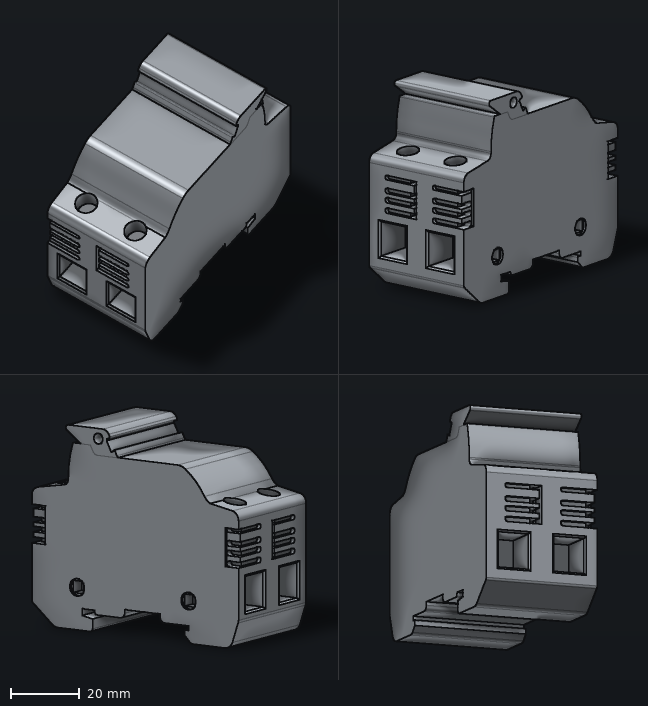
import cadquery as cq
import math


POLE_COUNT = 2
POLE_WIDTH = 17.5
WIDTH = POLE_COUNT * POLE_WIDTH
DEPTH = 72.6
HEIGHT = 60.3
HALF_WIDTH = WIDTH / 2
HALF_DEPTH = DEPTH / 2

COVER_ANGLE = 10.0
COVER_EDGE_Z = 40.45
BODY_TOP_Z = 52.4
SHOULDER_TOP_Z = 55.2
FOOT_Y = 23.5
FOOT_ROUNDING = 2.0
RAIL_SEAT_Z = 5.2
RAIL_HOOK_Z = 6.5
RAIL_RELIEF_Z = 7.75

LEVER_NOSE_ANGLE = 35.0
LEVER_NOSE_RADIUS = 0.9
LEVER_NOSE_Y = 24.4
LEVER_ROOT_Y = 19.2
LEVER_PIN_Y = 12.95
LEVER_PIN_Z = 57.3
LEVER_PIN_DIAMETER = 3.15
LEVER_PIN_DEPTH = 5.0

SCREW_Y = 29.1
SCREW_DIAMETER = 6.6
SCREW_DEPTH = 6.0

ENTRY_WIDTH = 9.4
ENTRY_HEIGHT = 10.4
ENTRY_Z = 15.8
ENTRY_CHAMFER = 0.6
ENTRY_DEPTH = 12.0

VENT_LENGTH = 11.5
VENT_FACE_DEPTH = 1.3
VENT_SIDE_LENGTH = 4.7
VENT_SIDE_DEPTH = 3.2
VENT_RECESS_DEPTH = 0.85
VENT_SLOTS = [(34.85, 1.35), (30.9, 1.6), (28.05, 1.6), (24.9, 1.6)]

SOCKET_Y = [20.4, -18.7]
SOCKET_Z = 12.6
SOCKET_DIAMETER = 5.1
SOCKET_RECESS = 0.8
SOCKET_SQUARE = SOCKET_DIAMETER / math.sqrt(2)
SOCKET_DEPTH = 5.0


def cover_z(y):
    """Height of the sloped terminal cover at a given Y, front or back."""
    return COVER_EDGE_Z + (HALF_DEPTH - abs(y)) * math.tan(math.radians(COVER_ANGLE))


def side_plane():
    """Sketch plane on the -X side, with sketch axes along Y and Z."""
    return cq.Workplane("YZ", origin=(-HALF_WIDTH, 0, 0))


def round_corners(solid, corners):
    """Round the X-direction edges that pass through the given (y, z, radius) corners."""
    for y, z, radius in corners:
        corner_edge = cq.selectors.NearestToPointSelector((0, y, z))
        solid = solid.edges("|X").edges(corner_edge).fillet(radius)
    return solid


def make_housing():
    back_toe = (28.3, 0)
    back_heel = (HALF_DEPTH, 6.75)
    front_toe = (-33.5, 0)
    front_heel = (-HALF_DEPTH, 8.4)
    back_cover_edge = (HALF_DEPTH, COVER_EDGE_Z)
    front_cover_edge = (-HALF_DEPTH, COVER_EDGE_Z)
    foot = (FOOT_Y, cover_z(FOOT_Y))
    back_wall_top = (FOOT_Y, 44.9)
    shoulder_back = (21.9, SHOULDER_TOP_Z)
    shoulder_front = (15.8, SHOULDER_TOP_Z)
    step_foot = (14.4, BODY_TOP_Z)
    front_top = (-14.75, BODY_TOP_Z)
    front_brow = (-17.55, 51.5)
    front_slope_foot = (-24.3, 44.15)
    front_foot_y = -26.4
    front_foot = (front_foot_y, cover_z(front_foot_y))
    hook_back = (18.65, RAIL_HOOK_Z)
    hook_throat = (hook_back[0], 4.5)
    hook_lip = (14.95, 3.85)
    hook_toe = (14.95, 0)
    hook_seat = (14.4, RAIL_HOOK_Z)
    back_seat = (13.9, RAIL_SEAT_Z)
    relief_back_y = 3.65
    relief_front_y = -8.7
    latch_y = -18.65
    latch_lip = (-17.35, 3.9)
    latch_slope = (-17.35, 2.25)
    latch_toe = (-19.6, 0)

    outline = (
        side_plane()
        .moveTo(*back_toe)
        .lineTo(*back_heel)
        .lineTo(*back_cover_edge)
        .lineTo(*foot)
        .lineTo(*back_wall_top)
        .tangentArcPoint(shoulder_back, relative=False)
        .lineTo(*shoulder_front)
        .lineTo(*step_foot)
        .lineTo(*front_top)
        .tangentArcPoint(front_brow, relative=False)
        .tangentArcPoint(front_slope_foot, relative=False)
        .tangentArcPoint(front_foot, relative=False)
        .lineTo(*front_cover_edge)
        .lineTo(*front_heel)
        .lineTo(*front_toe)
        .lineTo(*latch_toe)
        .lineTo(*latch_slope)
        .lineTo(*latch_lip)
        .lineTo(latch_y, latch_lip[1])
        .lineTo(latch_y, RAIL_SEAT_Z)
        .lineTo(relief_front_y, RAIL_SEAT_Z)
        .lineTo(relief_front_y, RAIL_RELIEF_Z)
        .lineTo(relief_back_y, RAIL_RELIEF_Z)
        .lineTo(relief_back_y, RAIL_SEAT_Z)
        .lineTo(*back_seat)
        .lineTo(*hook_seat)
        .lineTo(*hook_back)
        .lineTo(*hook_throat)
        .lineTo(*hook_lip)
        .lineTo(*hook_toe)
        .close()
    )
    corners = [
        (*back_toe, 3.0),
        (*back_heel, 1.0),
        (*back_cover_edge, 2.5),
        (*foot, FOOT_ROUNDING),
        (*shoulder_back, 0.3),
        (*step_foot, 2.0),
        (*front_cover_edge, 2.8),
        (*front_heel, 2.5),
        (*front_toe, 3.0),
        (*latch_toe, 2.0),
        (*latch_lip, 0.2),
        (relief_front_y, RAIL_SEAT_Z, 1.6),
        (relief_back_y, RAIL_SEAT_Z, 1.6),
        (*back_seat, 0.5),
        (*hook_toe, 1.0),
    ]
    return round_corners(outline.extrude(WIDTH), corners)


def make_lever():
    """Pull lever that rests on the shoulder and in the step in front of it."""
    nose_angle = math.radians(LEVER_NOSE_ANGLE)
    nose_y = LEVER_NOSE_Y - LEVER_NOSE_RADIUS
    nose_z = HEIGHT - LEVER_NOSE_RADIUS
    nose_end = (
        nose_y + LEVER_NOSE_RADIUS * math.sin(nose_angle),
        nose_z - LEVER_NOSE_RADIUS * math.cos(nose_angle),
    )
    top_front = (11.5, HEIGHT)
    brow_middle = (10.3, 59.97)
    brow = (9.35, 59.05)
    lip = (8.75, 58.0)
    groove_top = (10.05, 57.5)
    groove_bottom = (10.05, 57.0)
    catch_root = (8.35, 53.75)
    catch_tip = (7.25, 54.6)
    catch_ankle = (6.45, 53.0)
    catch_toe = (6.0, BODY_TOP_Z)
    inside_z = BODY_TOP_Z - 2.0
    outline = (
        side_plane()
        .moveTo(nose_y, HEIGHT)
        .threePointArc((LEVER_NOSE_Y, nose_z), nose_end)
        .lineTo(LEVER_ROOT_Y, SHOULDER_TOP_Z)
        .lineTo(LEVER_ROOT_Y, inside_z)
        .lineTo(catch_toe[0], inside_z)
        .lineTo(*catch_toe)
        .lineTo(*catch_ankle)
        .lineTo(*catch_tip)
        .lineTo(*catch_root)
        .lineTo(*groove_bottom)
        .lineTo(*groove_top)
        .lineTo(*lip)
        .lineTo(*brow)
        .threePointArc(brow_middle, top_front)
        .close()
    )
    corners = [
        (*catch_tip, 0.15),
        (*catch_root, 0.15),
        (*groove_top, 0.15),
        (*lip, 0.35),
    ]
    return round_corners(outline.extrude(WIDTH), corners)


def make_lever_pin_hole():
    return (
        side_plane()
        .center(LEVER_PIN_Y, LEVER_PIN_Z)
        .circle(LEVER_PIN_DIAMETER / 2)
        .extrude(LEVER_PIN_DEPTH)
    )


def make_socket(y):
    """Round recess with a square socket in its floor."""
    plane = side_plane().center(y, SOCKET_Z)
    recess = plane.circle(SOCKET_DIAMETER / 2).extrude(SOCKET_RECESS)
    square = plane.rect(SOCKET_SQUARE, SOCKET_SQUARE).extrude(SOCKET_DEPTH)
    return recess.union(square)


def make_screw_hole(x):
    """Blind hole in the front cover, square to its sloped face."""
    tilt = math.radians(COVER_ANGLE)
    cover = cq.Plane(
        origin=(x, -SCREW_Y, cover_z(SCREW_Y)),
        xDir=(1, 0, 0),
        normal=(0, -math.sin(tilt), math.cos(tilt)),
    )
    clearance = 2.0
    return (
        cq.Workplane(cover)
        .workplane(offset=clearance)
        .circle(SCREW_DIAMETER / 2)
        .extrude(-(SCREW_DEPTH + clearance))
    )


def make_wire_entry(x):
    """Rectangular pocket in the front face with a chamfered mouth."""
    pocket = (
        cq.Workplane("XZ", origin=(x, -HALF_DEPTH, ENTRY_Z))
        .rect(ENTRY_WIDTH, ENTRY_HEIGHT)
        .extrude(-ENTRY_DEPTH)
    )
    mouth = (
        cq.Workplane("XZ", origin=(x, -HALF_DEPTH, ENTRY_Z))
        .rect(ENTRY_WIDTH + 2 * ENTRY_CHAMFER, ENTRY_HEIGHT + 2 * ENTRY_CHAMFER)
        .workplane(offset=-ENTRY_CHAMFER)
        .rect(ENTRY_WIDTH, ENTRY_HEIGHT)
        .loft()
    )
    return pocket.union(mouth)


def make_vents(side_x):
    """Slots wrapping round the front corner of a pole whose -X side lies at side_x."""
    top = VENT_SLOTS[0][0] + VENT_SLOTS[0][1] / 2
    bottom = VENT_SLOTS[-1][0] - VENT_SLOTS[-1][1] / 2
    cutter = cq.Workplane("XY").box(
        VENT_RECESS_DEPTH, VENT_SIDE_LENGTH, top - bottom, centered=False
    ).translate((side_x, -HALF_DEPTH, bottom))
    pole_side = cq.Workplane("YZ", origin=(side_x, 0, 0))
    end_face = cq.Workplane("XZ", origin=(0, -HALF_DEPTH, 0))
    for z, slot_width in VENT_SLOTS:
        face_slot = round_ended_slot(end_face, side_x, z, VENT_LENGTH, slot_width, -VENT_FACE_DEPTH)
        side_slot = round_ended_slot(pole_side, -HALF_DEPTH, z, VENT_SIDE_LENGTH, slot_width, VENT_SIDE_DEPTH)
        cutter = cutter.union(face_slot).union(side_slot)
    return cutter


def round_ended_slot(plane, start, z, length, slot_width, depth):
    """Slot open at its start, with a half-round far end."""
    radius = slot_width / 2
    end = start + length
    return (
        plane.moveTo(start, z - radius)
        .lineTo(end - radius, z - radius)
        .threePointArc((end, z), (end - radius, z + radius))
        .lineTo(start, z + radius)
        .close()
        .extrude(depth)
    )


def cut_front_and_back(solid, cutter):
    """Cut a front feature and its mirror image at the back."""
    return solid.cut(cutter).cut(cutter.mirror("XZ"))


housing = make_housing()
lever = make_lever().cut(housing).cut(make_lever_pin_hole())

for socket_y in SOCKET_Y:
    housing = housing.cut(make_socket(socket_y))
for pole in range(POLE_COUNT):
    pole_side_x = -HALF_WIDTH + pole * POLE_WIDTH
    pole_centre_x = pole_side_x + POLE_WIDTH / 2
    housing = cut_front_and_back(housing, make_screw_hole(pole_centre_x))
    housing = cut_front_and_back(housing, make_wire_entry(pole_centre_x))
    housing = cut_front_and_back(housing, make_vents(pole_side_x))

result = housing.union(lever, clean=False)